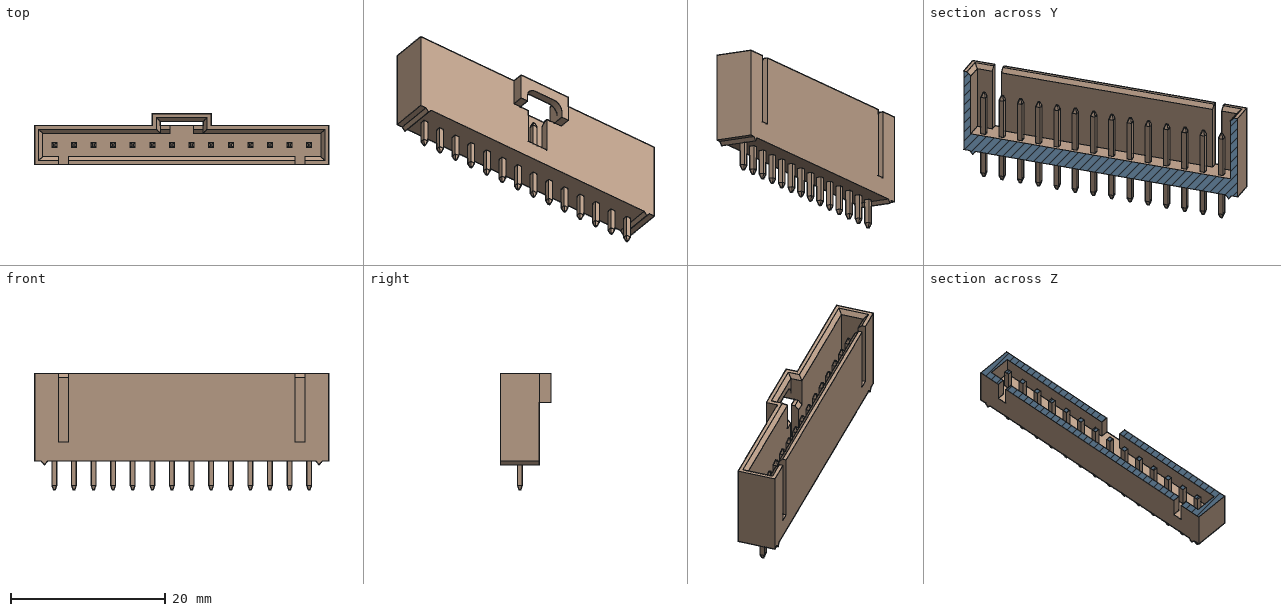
import cadquery as cq

LENGTH = 38.1
DEPTH = 5.05
HEIGHT = 11.4
FLOOR = 2.5
RIM = 0.5
END_WALL = 1.03
SIDE_WALL = 1.03
BEVEL_DROP = 0.55
BACK = DEPTH / 2
INNER_BACK = BACK - SIDE_WALL
MOUTH_BACK = BACK - RIM

KEY_WIDTH = 7.7
KEY_DEPTH = 1.52
KEY_HEIGHT = 3.8
KEY_SIDE_RIM = 0.57
KEY_SIDE_WALL = 1.05
KEY_BOTTOM = HEIGHT - KEY_HEIGHT
KEY_INNER_WIDTH = KEY_WIDTH - 2 * KEY_SIDE_WALL
KEY_MOUTH_WIDTH = KEY_WIDTH - 2 * KEY_SIDE_RIM

WINDOW_HEIGHT = 2.2
WINDOW_RADIUS = 1.3
NOTCH_WIDTH = 3.05

SLOT_WIDTH = 1.25
SLOT_OFFSET = LENGTH / 2 - 3.75

RIB_HEIGHT = 0.5
RIB_WIDTH = 0.85
RIB_OFFSET = LENGTH / 2 - 1.25

PIN_COUNT = 14
PITCH = LENGTH / (PIN_COUNT + 1)
PIN_WIDTH = 0.65
PIN_TIP_WIDTH = 0.23
PIN_TAPER = 0.6
PIN_BOTTOM = -3.75
PIN_TOP = 8.4


def block(width, y_range, z_range, x=0):
    """Box of the given X width centred on x, spanning the given Y and Z ranges."""
    y_low, y_high = y_range
    z_low, z_high = z_range
    return (
        cq.Workplane("XY", origin=(x, (y_low + y_high) / 2, z_low))
        .rect(width, y_high - y_low)
        .extrude(z_high - z_low)
    )


def frustum(low_size, low_z, high_size, high_z, low_y=0, high_y=0):
    """Solid between two rectangles given by (X size, Y size), height and Y centre."""
    return (
        cq.Workplane("XY", origin=(0, low_y, low_z))
        .rect(*low_size)
        .workplane(offset=high_z - low_z)
        .center(0, high_y - low_y)
        .rect(*high_size)
        .loft(ruled=True)
    )


def make_main_cavity():
    inner_size = (LENGTH - 2 * END_WALL, 2 * INNER_BACK)
    mouth_size = (LENGTH - 2 * RIM, 2 * MOUTH_BACK)
    well = block(inner_size[0], (-INNER_BACK, INNER_BACK), (FLOOR, HEIGHT))
    return well.union(frustum(inner_size, HEIGHT - BEVEL_DROP, mouth_size, HEIGHT))


def make_key_cavity():
    inner_depth = INNER_BACK + KEY_DEPTH
    mouth_depth = MOUTH_BACK + KEY_DEPTH
    well = block(KEY_INNER_WIDTH, (0, inner_depth), (KEY_BOTTOM, HEIGHT))
    bevel = frustum(
        (KEY_INNER_WIDTH, inner_depth),
        HEIGHT - BEVEL_DROP,
        (KEY_MOUTH_WIDTH, mouth_depth),
        HEIGHT,
        inner_depth / 2,
        mouth_depth / 2,
    )
    return well.union(bevel)


def make_window():
    z_range = (KEY_BOTTOM, KEY_BOTTOM + WINDOW_HEIGHT)
    window = block(KEY_INNER_WIDTH, (BACK, BACK + KEY_DEPTH), z_range)
    return window.edges("|Y and >Z").fillet(WINDOW_RADIUS)


def make_ledge_bevel():
    """Wedge that bevels the inner edge of the back wall where the key opens through it."""
    return (
        cq.Workplane("YZ")
        .moveTo(MOUTH_BACK, KEY_BOTTOM)
        .lineTo(INNER_BACK, KEY_BOTTOM)
        .lineTo(INNER_BACK, KEY_BOTTOM - BEVEL_DROP)
        .close()
        .extrude(KEY_INNER_WIDTH / 2, both=True)
    )


def make_rib(x):
    return (
        cq.Workplane("XZ")
        .moveTo(x - RIB_WIDTH / 2, 0)
        .lineTo(x, -RIB_HEIGHT)
        .lineTo(x + RIB_WIDTH / 2, 0)
        .close()
        .extrude(DEPTH / 2, both=True)
    )


def make_pin():
    full_size = (PIN_WIDTH, PIN_WIDTH)
    tip_size = (PIN_TIP_WIDTH, PIN_TIP_WIDTH)
    shank_bottom = PIN_BOTTOM + PIN_TAPER
    shank_top = PIN_TOP - PIN_TAPER
    shank = block(PIN_WIDTH, (-PIN_WIDTH / 2, PIN_WIDTH / 2), (shank_bottom, shank_top))
    lower_tip = frustum(tip_size, PIN_BOTTOM, full_size, shank_bottom)
    upper_tip = frustum(full_size, shank_top, tip_size, PIN_TOP)
    return shank.union(lower_tip).union(upper_tip)


result = block(LENGTH, (-BACK, BACK), (0, HEIGHT))
result = result.union(block(KEY_WIDTH, (0, BACK + KEY_DEPTH), (KEY_BOTTOM, HEIGHT)))
result = result.cut(make_main_cavity())
result = result.cut(make_key_cavity())
result = result.cut(make_window())
result = result.cut(make_ledge_bevel())
result = result.cut(block(NOTCH_WIDTH, (0, BACK), (FLOOR, HEIGHT)))

for side in (-1, 1):
    result = result.cut(block(SLOT_WIDTH, (-BACK, 0), (FLOOR, HEIGHT), side * SLOT_OFFSET))
    result = result.union(make_rib(side * RIB_OFFSET))

pin = make_pin()
for index in range(PIN_COUNT):
    pin_x = (index - (PIN_COUNT - 1) / 2) * PITCH
    result = result.union(pin.translate((pin_x, 0, 0)))